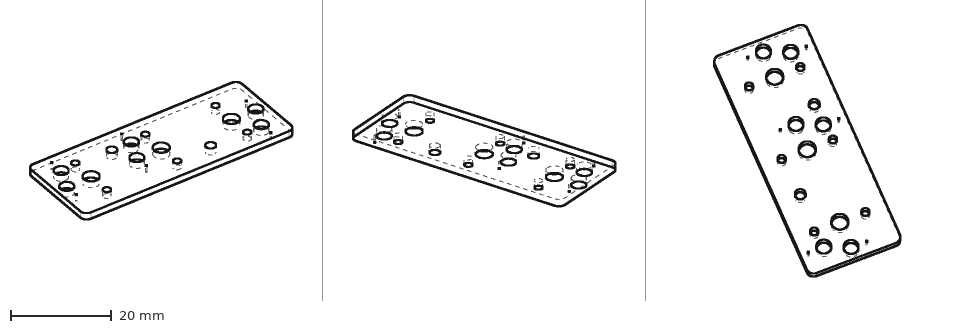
import cadquery as cq

width = 20.0
length = 51.0
thickness = 1.6
corner_radius = 1.5

switch_pitch = 17.0
switches = [(-switch_pitch, 1), (0, 1), (switch_pitch, -1)]

centre_post_diameter = 3.4
side_post_diameter = 1.7
side_post_offset = 5.5
contact_diameter = 3.0
side_contact = (-5.0, -3.75)
end_contact = (0, -5.9)
pilot_diameter = 0.3
pilot_offset = 3.3
side_pilot = (side_contact[0] - pilot_offset, side_contact[1])
end_pilot = (end_contact[0] + pilot_offset, end_contact[1])

mount_diameter = 2.2
mount_x = -side_contact[0]
mount_y = switch_pitch / 2


def drill(plate, diameter, points):
    """Cut round through holes at the given XY points."""
    return plate.faces(">Z").workplane(origin=(0, 0, 0)).pushPoints(points).hole(diameter)


def drill_switch(plate, centre_y, sign):
    """Cut one switch's hole pattern; sign -1 turns it by 180 degrees."""
    switch_holes = [
        (centre_post_diameter, [(0, 0)]),
        (side_post_diameter, [(-side_post_offset, 0), (side_post_offset, 0)]),
        (contact_diameter, [side_contact, end_contact]),
        (pilot_diameter, [side_pilot, end_pilot]),
    ]
    for diameter, offsets in switch_holes:
        points = [(sign * x, centre_y + sign * y) for x, y in offsets]
        plate = drill(plate, diameter, points)
    return plate


result = cq.Workplane("XY").box(width, length, thickness).edges("|Z").fillet(corner_radius)

for centre_y, sign in switches:
    result = drill_switch(result, centre_y, sign)

result = drill(result, mount_diameter, [(mount_x, mount_y), (-mount_x, -mount_y)])